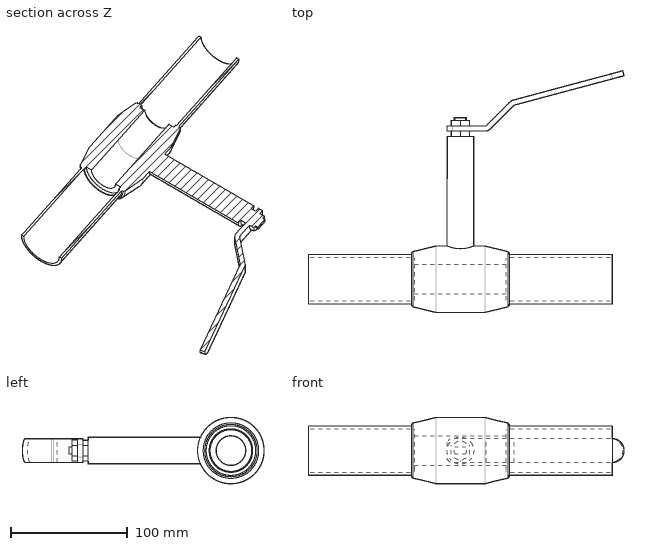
import cadquery as cq
import math


overall_length = 270.0
pipe_length = 260.0
pipe_diameter = 42.5
pipe_bore = 37.3
seat_bore = 35.6
seat_depth = 2.7
ball_bore = 25.0
body_diameter = 57.0
body_length = 83.7
body_straight_length = 41.8
body_end_diameter = 47.5
body_end_chamfer = 1.4

overall_height = 206.8
stem_diameter = 23.0
stem_top = 122.0
nut_height = 4.5
nut_across_flats = 15.7
stud_diameter = 10.8
stud_across_flats = 6.0
stud_projection = 2.5

handle_thickness = 4.5
handle_width = 20.5
handle_overhang = 11.5
handle_corner_radius = 4.9
bend_outer_radius = 6.5
lower_bend_x = 23.0
first_leg_angle = math.radians(45)
grip_angle = math.radians(15)

handle_bottom = stem_top + nut_height
handle_top = handle_bottom + handle_thickness
upper_nut_top = handle_top + nut_height
half_thickness = handle_thickness / 2
tip_radius = handle_width / 2


def along_y(start_y):
    """Workplane facing +Y at the given height, on the stem axis."""
    return cq.Workplane("XZ", origin=(0, start_y, 0)).transformed(rotate=(180, 0, 0))


def make_body():
    """Solid pipe with the revolved barrel around its middle."""
    half_pipe = pipe_length / 2
    half_body = body_length / 2
    half_straight = body_straight_length / 2
    end_radius = body_end_diameter / 2
    pipe = cq.Workplane("YZ").circle(pipe_diameter / 2).extrude(half_pipe, both=True)
    barrel_outline = [
        (-half_body, 0),
        (-half_body, end_radius - body_end_chamfer),
        (-half_body + body_end_chamfer, end_radius),
        (-half_straight, body_diameter / 2),
        (half_straight, body_diameter / 2),
        (half_body - body_end_chamfer, end_radius),
        (half_body, end_radius - body_end_chamfer),
        (half_body, 0),
    ]
    barrel = cq.Workplane("XY").polyline(barrel_outline).close().revolve(360, (0, 0, 0), (1, 0, 0))
    return pipe.union(barrel)


def cut_bores(solid):
    """Bore each pipe up to the barrel, step down to the seat and run the ball passage right through."""
    bore_depth = (pipe_length - body_length) / 2
    half_pipe = pipe_length / 2
    for side in (-1, 1):
        end_plane = cq.Plane(origin=(side * half_pipe, 0, 0), normal=(-side, 0, 0))
        pipe_end = cq.Workplane(end_plane)
        solid = solid.cut(pipe_end.circle(pipe_bore / 2).extrude(bore_depth))
        solid = solid.cut(pipe_end.circle(seat_bore / 2).extrude(bore_depth + seat_depth))
    passage = cq.Workplane("YZ").circle(ball_bore / 2).extrude(half_pipe, both=True)
    return solid.cut(passage)


def make_nut(start_y):
    """Hexagonal nut with two corners on the Z direction."""
    across_corners = nut_across_flats / math.cos(math.pi / 6)
    nut = along_y(start_y).polygon(6, across_corners).extrude(nut_height)
    return nut.rotate((0, 0, 0), (0, 1, 0), 90)


def make_stud():
    """Stud running through the nuts, with flats facing +Z and -Z."""
    stud_height = upper_nut_top + stud_projection - stem_top
    stud = along_y(stem_top).circle(stud_diameter / 2).extrude(stud_height)
    flats = along_y(stem_top).rect(stud_diameter, stud_across_flats).extrude(stud_height)
    return stud.intersect(flats)


def mitre(point, angle_in, angle_out, side):
    """Outline point beside a bend, on the left (side=1) or right (side=-1) of the strip."""
    middle_angle = (angle_in + angle_out) / 2
    reach = side * half_thickness / math.cos((angle_out - angle_in) / 2)
    return (point[0] - reach * math.sin(middle_angle), point[1] + reach * math.cos(middle_angle))


def make_handle():
    """Bent strip with rounded corners at the stem and a half-round grip tip."""
    far_x = overall_length - pipe_length / 2
    far_y = overall_height - body_diameter / 2
    tip_x = far_x - tip_radius * math.cos(grip_angle) - half_thickness * math.sin(grip_angle)
    tip_y = far_y - tip_radius * math.sin(grip_angle) - half_thickness * math.cos(grip_angle)

    end_x = tip_x + tip_radius * math.cos(grip_angle)
    end_y = tip_y + tip_radius * math.sin(grip_angle)

    flat_y = handle_bottom + half_thickness
    leg_slope = math.tan(first_leg_angle)
    grip_slope = math.tan(grip_angle)
    height_gap = tip_y - flat_y - grip_slope * tip_x + leg_slope * lower_bend_x
    upper_bend_x = height_gap / (leg_slope - grip_slope)
    upper_bend_y = flat_y + leg_slope * (upper_bend_x - lower_bend_x)

    stations = [
        ((-handle_overhang, flat_y), 0, 0),
        ((lower_bend_x, flat_y), 0, first_leg_angle),
        ((upper_bend_x, upper_bend_y), first_leg_angle, grip_angle),
        ((end_x, end_y), grip_angle, grip_angle),
    ]
    upper_side = [mitre(*station, 1) for station in stations]
    lower_side = [mitre(*station, -1) for station in stations]
    outline = upper_side + lower_side[::-1]
    strip = cq.Workplane("XY").polyline(outline).close().extrude(handle_width / 2, both=True)

    for x, y in (lower_side[1], upper_side[2]):
        bend_edge = cq.selectors.NearestToPointSelector((x, y, 0))
        strip = strip.edges("|Z").edges(bend_edge).fillet(bend_outer_radius)
    strip = strip.faces("<X").edges("|Y").fillet(handle_corner_radius)

    grip_normal = (-math.sin(grip_angle), math.cos(grip_angle), 0)
    grip_direction = (math.cos(grip_angle), math.sin(grip_angle), 0)
    tip_plane = cq.Plane(origin=(tip_x, tip_y, 0), xDir=grip_direction, normal=grip_normal)
    corner_waste = (
        cq.Workplane(tip_plane)
        .center(tip_radius, 0)
        .rect(handle_width, 2 * handle_width)
        .extrude(handle_thickness, both=True)
    )
    round_end = cq.Workplane(tip_plane).circle(tip_radius).extrude(handle_thickness, both=True)
    return strip.cut(corner_waste.cut(round_end))


stem = along_y(0).circle(stem_diameter / 2).extrude(stem_top)

result = cut_bores(make_body().union(stem))
result = result.union(make_nut(stem_top)).union(make_nut(handle_top))
result = result.union(make_stud()).union(make_handle())